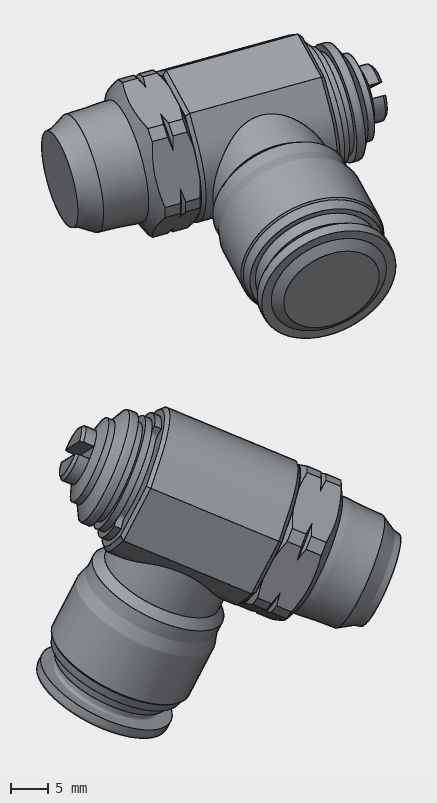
import cadquery as cq
import math

swivel_angle = 0.5

body_radius = 10.5
body_y_min = -10.05
body_y_max = 10.05
body_chamfer = 0.55

nut_flat_apothem = 10.05
nut_corner_apothem = 11.05
nut_y_min = -17.0
nut_y_max = body_y_min
nut_top_radius = 10.15
nut_top_bevel = 0.55
nut_base_radius = 8.5
nut_base_bevel = 1.37
nut_groove_y = -13.0
nut_groove_tip_radius = 10.4
nut_groove_half_width = 0.35

thread_start_y = -18.05
thread_mid_y = -20.35
thread_mid_radius = 8.35
thread_end_y = -23.35
thread_end_radius = 8.25
pilot_start_radius = 6.95
pilot_start_y = -25.5
pilot_end_y = -26.5
pilot_end_radius = 6.75

collar_radius = 9.05
collar_y_max = 11.05
collar_root_radius = 7.3
collar_gap_start_angle = 189
collar_gap_end_angle = 295
collar_gap_fillet = 0.7
knob_radius = 8.25
knob_groove_radius = 7.25
knob_groove_y_min = 12.05
knob_groove_y_max = 13.1
knob_cylinder_y_max = 14.0
knob_rim_radius = 8.15
knob_rim_y = 14.4
shoulder_radius = 6.15
shoulder_y_min = 15.58
shoulder_y_max = 16.5
screw_radius = 4.0
screw_y_min = 17.3
screw_y_max = 19.35
screw_chamfer = 0.45
screw_slot_width = 1.85
screw_slot_angle = 50.0

neck_radius = 8.5
neck_x_max = 12.35
sleeve_end_radius = 9.75
sleeve_x_min = 13.65
sleeve_taper_x_min = 15.7
sleeve_radius = 10.3
sleeve_taper_x_max = 17.55
sleeve_x_max = 25.45
sleeve_bevel_radius = 10.1
sleeve_bevel_x_max = 25.7
sleeve_nose_radius = 9.6
sleeve_nose_x_max = 27.05
cap_root_radius = 8.85
cap_nose_radius = 8.4
cap_x_max = 28.55
collet_neck_radius = 7.45
flange_radius = 9.75
flange_x_min = 30.05
flange_bevel_x_min = 31.15
flange_bevel_radius = 9.65
flange_x_max = 31.5
flange_root_fillet = 0.4
flange_cone_radius = 8.3
port_end_x = 32.5
port_end_radius = 6.85
collet_slot_length = 0.5
collet_slot_height = 0.95

cut_margin = 0.45
tolerance = 0.005


def revolve_about_y(profile):
    """Turn (radius, y) points, closed along the axis, about Y."""
    points = [(0, profile[0][1])] + profile + [(0, profile[-1][1])]
    return cq.Workplane("XY").polyline(points).close().revolve(360, (0, 0), (0, 1))


def make_body():
    tangent = body_radius / math.sqrt(2)
    flat_half = body_radius * math.tan(math.radians(22.5))
    outline = (
        cq.Workplane("XZ", origin=(0, body_y_max, 0))
        .moveTo(flat_half, body_radius)
        .lineTo(tangent, tangent)
        .threePointArc((body_radius, 0), (tangent, -tangent))
        .lineTo(flat_half, -body_radius)
        .lineTo(-flat_half, -body_radius)
        .lineTo(-tangent, -tangent)
        .threePointArc((-body_radius, 0), (-tangent, tangent))
        .lineTo(-flat_half, body_radius)
        .close()
    )
    return outline.extrude(body_y_max - body_y_min).faces("<Y or >Y").chamfer(body_chamfer)


def hexagon_prism(apothem, start_angle):
    corner_radius = apothem / math.cos(math.radians(30))
    angles = [math.radians(start_angle + 60 * i) for i in range(6)]
    points = [(corner_radius * math.cos(a), corner_radius * math.sin(a)) for a in angles]
    base = cq.Workplane("XZ", origin=(0, nut_y_max, 0)).polyline(points).close()
    return base.extrude(nut_y_max - nut_y_min)


def make_nut():
    prism = hexagon_prism(nut_flat_apothem, 0).intersect(hexagon_prism(nut_corner_apothem, 30))
    outer_radius = nut_corner_apothem
    rim_radius = outer_radius + cut_margin
    bevels = revolve_about_y([
        (nut_base_radius, nut_y_min),
        (outer_radius, nut_y_min + nut_base_bevel),
        (rim_radius, nut_y_min + nut_base_bevel),
        (rim_radius, nut_y_max - nut_top_bevel),
        (outer_radius, nut_y_max - nut_top_bevel),
        (nut_top_radius, nut_y_max),
    ])
    groove = (
        cq.Workplane("XY")
        .polyline([
            (nut_groove_tip_radius, nut_groove_y),
            (outer_radius, nut_groove_y + nut_groove_half_width),
            (rim_radius, nut_groove_y + nut_groove_half_width),
            (rim_radius, nut_groove_y - nut_groove_half_width),
            (outer_radius, nut_groove_y - nut_groove_half_width),
        ])
        .close()
        .revolve(360, (0, 0), (0, 1))
    )
    return prism.intersect(bevels).cut(groove)


def make_stem():
    return revolve_about_y([
        (pilot_end_radius, pilot_end_y),
        (pilot_start_radius, pilot_start_y),
        (thread_end_radius, thread_end_y),
        (thread_mid_radius, thread_mid_y),
        (nut_base_radius, thread_start_y),
        (nut_base_radius, nut_y_min),
        (nut_base_radius, body_y_max),
        (collar_radius, body_y_max),
        (collar_radius, collar_y_max),
        (knob_radius, collar_y_max),
        (knob_radius, knob_groove_y_min),
        (knob_groove_radius, knob_groove_y_min),
        (knob_groove_radius, knob_groove_y_max),
        (knob_radius, knob_groove_y_max),
        (knob_radius, knob_cylinder_y_max),
        (knob_rim_radius, knob_rim_y),
        (shoulder_radius, shoulder_y_min),
        (shoulder_radius, shoulder_y_max),
        (screw_radius, screw_y_min),
        (screw_radius, screw_y_max - screw_chamfer),
        (screw_radius - screw_chamfer, screw_y_max),
    ])


def is_at_radius(edge, radius):
    """Whether an edge parallel to Y lies at this distance from the stem axis."""
    center = edge.Center()
    return math.isclose(math.hypot(center.x, center.z), radius, abs_tol=tolerance)


def collar_gap():
    """Ring sector that interrupts the collar, with rounded inner corners."""
    gap_angle = collar_gap_end_angle - collar_gap_start_angle
    outer_radius = collar_radius + cut_margin
    ring_section = (
        cq.Workplane("XY")
        .moveTo(collar_root_radius, body_y_max)
        .lineTo(outer_radius, body_y_max)
        .lineTo(outer_radius, collar_y_max)
        .lineTo(collar_root_radius, collar_y_max)
        .close()
    )
    sector = ring_section.revolve(gap_angle, (0, 0), (0, 1))
    corners = sector.edges("|Y").filter(lambda edge: is_at_radius(edge, collar_root_radius))
    sector = corners.fillet(collar_gap_fillet)
    return sector.rotate((0, 0, 0), (0, 1, 0), -collar_gap_end_angle)


def screw_slot():
    depth = screw_y_max - screw_y_min
    slot = cq.Workplane("XY").box(2 * screw_radius, depth, screw_slot_width)
    slot = slot.rotate((0, 0, 0), (0, 1, 0), -screw_slot_angle)
    return slot.translate((0, screw_y_min + depth / 2, 0))


def make_port():
    sleeve_profile = [
        (0, neck_radius),
        (neck_x_max, neck_radius),
        (sleeve_x_min, sleeve_end_radius),
        (sleeve_taper_x_min, sleeve_end_radius),
        (sleeve_taper_x_max, sleeve_radius),
        (sleeve_x_max, sleeve_radius),
        (sleeve_bevel_x_max, sleeve_bevel_radius),
        (sleeve_nose_x_max, sleeve_nose_radius),
        (sleeve_nose_x_max, cap_root_radius),
        (cap_x_max, cap_nose_radius),
        (cap_x_max, collet_neck_radius),
        (flange_x_min - flange_root_fillet, collet_neck_radius),
    ]
    flange_profile = [
        (flange_x_min, flange_radius),
        (flange_bevel_x_min, flange_radius),
        (flange_x_max, flange_bevel_radius),
        (flange_x_max, flange_cone_radius),
        (port_end_x, port_end_radius),
        (port_end_x, 0),
    ]
    return (
        cq.Workplane("XY")
        .polyline(sleeve_profile, includeCurrent=True)
        .radiusArc((flange_x_min, collet_neck_radius + flange_root_fillet), -flange_root_fillet)
        .polyline(flange_profile, includeCurrent=True)
        .close()
        .revolve(360, (0, 0), (1, 0))
    )


def collet_slot():
    """Small window through the collet neck, along Y."""
    length = 2 * collet_neck_radius
    window = cq.Workplane("XY").box(collet_slot_length, length, collet_slot_height)
    return window.translate((cap_x_max + collet_slot_length / 2, 0, 0))


body = make_body().union(make_port()).cut(collet_slot())
swivelled = body.rotate((0, 0, 0), (0, 1, 0), swivel_angle)
stem = make_stem().cut(screw_slot()).cut(collar_gap())
result = swivelled.union(stem).union(make_nut())